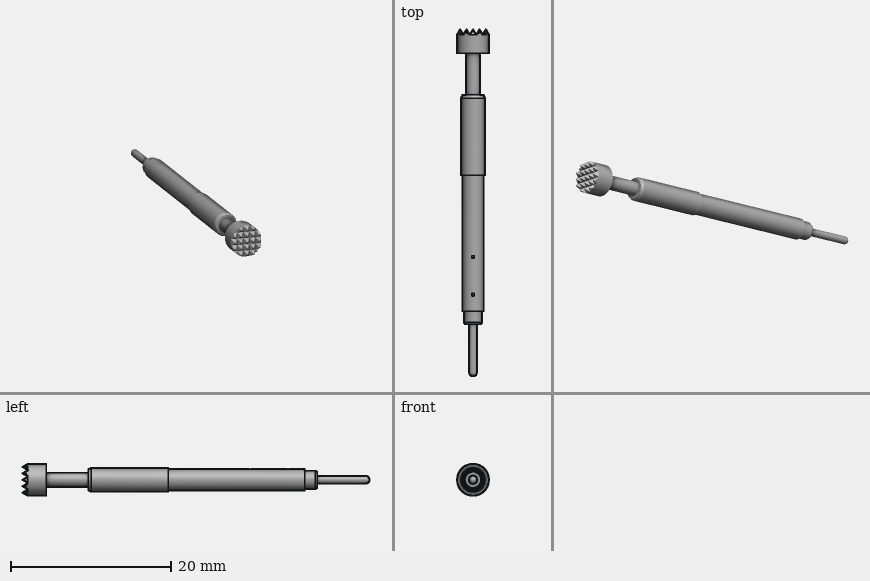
import cadquery as cq
import math


head_diameter = 4.0
plunger_diameter = 1.8
collar_diameter = 3.0
barrel_diameter = 2.7
rear_plug_diameter = 2.3
pin_diameter = 1.0

head_length = 3.0
plunger_length = 5.2
collar_length = 10.0
barrel_length = 17.0
rear_plug_length = 1.6
total_length = 43.3

collar_chamfer_length = 0.4
collar_chamfer_depth = 0.17
rear_plug_chamfer_length = 0.25
rear_plug_chamfer_depth = 0.15

tooth_pitch = 0.8
teeth_across = 5
tooth_angle = 60.0
tooth_depth = tooth_pitch / 2 / math.tan(math.radians(tooth_angle / 2))

dimple_diameter = 0.35
dimple_depth = 0.15
dimple_distances = (10.2, 14.9)

collar_front = collar_length
head_rear = collar_front + plunger_length
head_front = head_rear + head_length
barrel_rear = -barrel_length
plug_rear = barrel_rear - rear_plug_length
pin_tip = head_front - total_length
pin_dome_start = pin_tip + pin_diameter / 2


def make_turned_body():
    """Revolve the half section (radius, Y) about the Y axis."""
    head_radius = head_diameter / 2
    plunger_radius = plunger_diameter / 2
    collar_radius = collar_diameter / 2
    barrel_radius = barrel_diameter / 2
    plug_radius = rear_plug_diameter / 2
    pin_radius = pin_diameter / 2

    dome_offset = pin_radius * math.sin(math.radians(45))
    dome_mid = (dome_offset, pin_dome_start - dome_offset)

    return (
        cq.Workplane("XY")
        .moveTo(0, head_front)
        .lineTo(head_radius, head_front)
        .lineTo(head_radius, head_rear)
        .lineTo(plunger_radius, head_rear)
        .lineTo(plunger_radius, collar_front)
        .lineTo(collar_radius - collar_chamfer_depth, collar_front)
        .lineTo(collar_radius, collar_front - collar_chamfer_length)
        .lineTo(collar_radius, 0)
        .lineTo(barrel_radius, 0)
        .lineTo(barrel_radius, barrel_rear)
        .lineTo(plug_radius, barrel_rear)
        .lineTo(plug_radius, plug_rear + rear_plug_chamfer_length)
        .lineTo(plug_radius - rear_plug_chamfer_depth, plug_rear)
        .lineTo(pin_radius, plug_rear)
        .lineTo(pin_radius, pin_dome_start)
        .threePointArc(dome_mid, (0, pin_tip))
        .close()
        .revolve(360, (0, 0, 0), (0, 1, 0))
    )


def make_serration_cutter():
    """V grooves running along Z, side by side across X, open at the head front."""
    half_width = teeth_across * tooth_pitch / 2
    cutter = None
    for index in range(teeth_across + 1):
        valley = index * tooth_pitch - half_width
        groove = (
            cq.Workplane("XY")
            .moveTo(valley - tooth_pitch / 2, head_front)
            .lineTo(valley, head_front - tooth_depth)
            .lineTo(valley + tooth_pitch / 2, head_front)
            .close()
            .extrude(head_diameter, both=True)
        )
        cutter = groove if cutter is None else cutter.union(groove)
    return cutter


def cut_serrations(body):
    """Cross the V grooves at right angles, leaving pyramid points."""
    grooves = make_serration_cutter()
    crossing_grooves = grooves.rotate((0, 0, 0), (0, 1, 0), 90)
    return body.cut(grooves).cut(crossing_grooves)


def cut_dimples(body):
    """Sink the small round dimples into the top of the barrel."""
    dimple_floor = barrel_diameter / 2 - dimple_depth
    dimples = (
        cq.Workplane("XY")
        .workplane(offset=dimple_floor)
        .pushPoints([(0, -distance) for distance in dimple_distances])
        .circle(dimple_diameter / 2)
        .extrude(barrel_diameter)
    )
    return body.cut(dimples)


result = cut_dimples(cut_serrations(make_turned_body()))